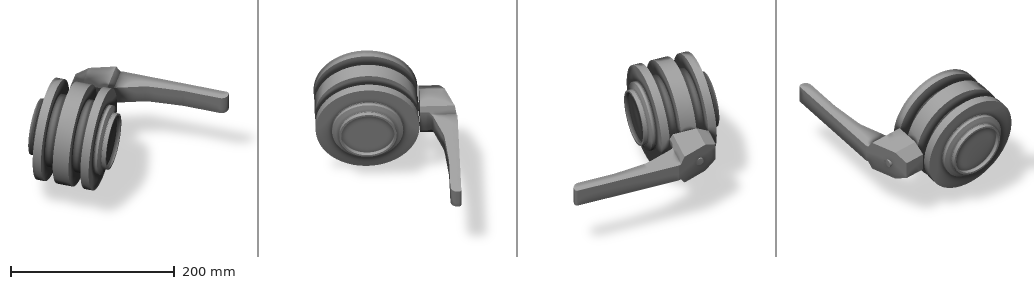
import cadquery as cq


flange_radius = 127.0 / 2
drum_radius = 45.4
collar_radius = 44.0
nut_radius = 43.5
shoulder_radius = 35.5
tube_radius = 35.0
bore_radius = 32.5

center_flange_half = 10.0
outer_flange_start = 25.0
outer_flange_end = 35.5
collar_end = outer_flange_end + 0.6
nut_end = 40.7
cone_end = 43.5
shoulder_end = cone_end + 0.6
tube_end = 49.11
bore_depth = 5.0

stem_radius = 5.1
stem_top = 100.4

overall_length = 214.0
overall_depth = 173.5
handle_top = overall_depth - flange_radius
handle_bottom = 64.6
hub_left = -24.6
hub_left_top = 89.9
hub_right = 26.0
slope_end = 30.4
lever_tip = overall_length - tube_end
grip_bottom = 97.0
grip_start = 110.2
tip_lower_radius = 8.3
tip_upper_radius = 3.2
neck_wall_top = 73.6
neck_bend = (27.2, 78.0)
neck_end = (30.5, 80.2)
bend_start = (59.3, 90.5)
bend_middle = (65.5, 92.35)
bend_end = (72.1, 93.3)

hub_half_width = 21.72
lever_half_width = 12.52
hub_flat_start = -9.0
hub_flat_end = 22.0
hub_plan_end = 27.4


def cylinder_between(start, end, radius):
    """Cylinder on the valve axis from X = start to X = end."""
    return cq.Workplane("YZ", origin=(start, 0, 0)).circle(radius).extrude(end - start)


def make_valve_body():
    """Symmetric flanged valve with shallow end bores and an integral stem."""
    right_half = [
        (center_flange_half, flange_radius),
        (center_flange_half, drum_radius),
        (outer_flange_start, drum_radius),
        (outer_flange_start, flange_radius),
        (outer_flange_end, flange_radius),
        (outer_flange_end, collar_radius),
        (collar_end, collar_radius),
        (collar_end, nut_radius),
        (nut_end, nut_radius),
        (cone_end, shoulder_radius),
        (shoulder_end, shoulder_radius),
        (shoulder_end, tube_radius),
        (tube_end, tube_radius),
        (tube_end, 0),
    ]
    left_half = [(-x, radius) for x, radius in reversed(right_half)]
    body = (
        cq.Workplane("XY")
        .polyline(left_half + right_half)
        .close()
        .revolve(360, (0, 0, 0), (1, 0, 0))
    )
    for start in (-tube_end, tube_end - bore_depth):
        body = body.cut(cylinder_between(start, start + bore_depth, bore_radius))
    return body.union(make_stem(stem_top))


def make_stem(top):
    """Round shaft along Y from the valve axis up to Y = top."""
    return cq.Workplane("XZ").circle(stem_radius).extrude(-top)


def make_handle():
    """Lever with an eight-sided hub, a sloped top and a through hole for the stem."""
    lower_center = (lever_tip - tip_lower_radius, grip_bottom + tip_lower_radius)
    upper_center = (lever_tip - tip_upper_radius, handle_top - tip_upper_radius)
    diagonal = 0.5 ** 0.5
    lower_middle = (
        lower_center[0] + tip_lower_radius * diagonal,
        lower_center[1] - tip_lower_radius * diagonal,
    )
    upper_middle = (
        upper_center[0] + tip_upper_radius * diagonal,
        upper_center[1] + tip_upper_radius * diagonal,
    )
    side = (
        cq.Workplane("XY", origin=(0, 0, -hub_half_width))
        .moveTo(hub_left, handle_bottom)
        .lineTo(hub_right, handle_bottom)
        .lineTo(hub_right, neck_wall_top)
        .threePointArc(neck_bend, neck_end)
        .lineTo(*bend_start)
        .threePointArc(bend_middle, bend_end)
        .lineTo(grip_start, grip_bottom)
        .lineTo(lower_center[0], grip_bottom)
        .threePointArc(lower_middle, (lever_tip, lower_center[1]))
        .lineTo(lever_tip, upper_center[1])
        .threePointArc(upper_middle, (upper_center[0], handle_top))
        .lineTo(slope_end, handle_top)
        .lineTo(hub_left, hub_left_top)
        .close()
        .extrude(2 * hub_half_width)
    )
    front_edge = [
        (hub_left, lever_half_width),
        (hub_flat_start, hub_half_width),
        (hub_flat_end, hub_half_width),
        (hub_plan_end, lever_half_width),
        (lever_tip, lever_half_width),
    ]
    back_edge = [(x, -z) for x, z in reversed(front_edge)]
    plan = cq.Workplane("XZ").polyline(front_edge + back_edge).close().extrude(-handle_top)
    return side.intersect(plan).cut(make_stem(handle_top))


valve_body = make_valve_body()
handle = make_handle()
result = cq.Compound.makeCompound([valve_body.val(), handle.val()])